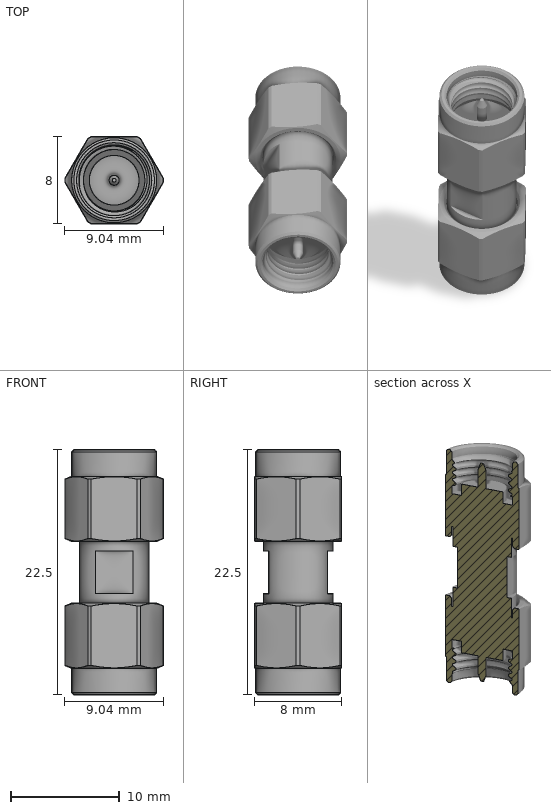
import cadquery as cq
import math


total_length = 22.5
end_z = total_length / 2

hex_sides = 6
nut_across_flats = 8.0
nut_across_corners = 9.04
nut_top_z = 8.81
nut_bottom_z = 2.83
nut_bevel_angle = 23.0
nut_face_dia = 7.8
collar_dia = 7.8
collar_chamfer = 0.2
rear_mouth_dia = 7.0
rear_bore_dia = 6.55
rear_bore_depth = 1.0

entry_dia = 6.5
entry_chamfer = 0.2
entry_depth = 0.9
relief_dia = entry_dia
relief_start_depth = 3.44
socket_depth = 4.2

thread_pitch = 0.705
thread_major_dia = 6.4
thread_half_angle = 30.0
sharp_height = thread_pitch * 0.5 / math.tan(math.radians(thread_half_angle))
thread_depth = sharp_height * 5 / 8
thread_minor_dia = thread_major_dia - 2 * thread_depth
root_flat = thread_pitch / 8
thread_overcut = 0.1
thread_start_angle = 152.0
thread_start_depth = 3.8
thread_turns = 4.25

shell_dia = 4.56
shell_face_depth = 3.1
pin_dia = 0.92
pin_tip_dia = 0.34
pin_tip_depth = 0.72
pin_cone_length = 0.68

barrel_dia = 6.4
barrel_across_flats = 5.4
flat_length = 3.9


def cylinder(diameter, z_low, z_high):
    """Cylinder on the Z axis between two heights."""
    return cq.Workplane("XY").workplane(offset=z_low).circle(diameter / 2).extrude(z_high - z_low)


def make_barrel():
    """Centre barrel with a pair of wrench flats facing -Y and +Y."""
    barrel_end_z = end_z - socket_depth
    barrel = cylinder(barrel_dia, -barrel_end_z, barrel_end_z)
    flat_cut_depth = (barrel_dia - barrel_across_flats) / 2
    for side in (-1, 1):
        cut_center_y = side * (barrel_across_flats + flat_cut_depth) / 2
        cutter = cq.Workplane("XY").box(barrel_dia, flat_cut_depth, flat_length)
        barrel = barrel.cut(cutter.translate((0, cut_center_y, 0)))
    return barrel


def make_hexagon():
    """Hexagonal grip with rounded corners and both ends bevelled."""
    hex_height = nut_top_z - nut_bottom_z
    vertex_dia = nut_across_flats / math.cos(math.pi / hex_sides)
    hexagon = (
        cq.Workplane("XY")
        .workplane(offset=nut_bottom_z)
        .polygon(hex_sides, vertex_dia)
        .extrude(hex_height)
    )
    face_radius = nut_face_dia / 2
    corner_radius = nut_across_corners / 2
    bevel_height = (corner_radius - face_radius) * math.tan(math.radians(nut_bevel_angle))
    envelope = (
        cq.Workplane("XZ")
        .moveTo(0, nut_bottom_z)
        .lineTo(face_radius, nut_bottom_z)
        .lineTo(corner_radius, nut_bottom_z + bevel_height)
        .lineTo(corner_radius, nut_top_z - bevel_height)
        .lineTo(face_radius, nut_top_z)
        .lineTo(0, nut_top_z)
        .close()
        .revolve()
    )
    return hexagon.intersect(envelope)


def make_thread_groove():
    """Right-handed 60 degree groove, running from the relief up into the entry bore."""
    outer_radius = thread_major_dia / 2
    inner_radius = thread_minor_dia / 2 - thread_overcut
    outer_half = root_flat / 2
    inner_half = outer_half + (outer_radius - inner_radius) * math.tan(math.radians(thread_half_angle))
    helix = cq.Wire.makeHelix(thread_pitch, thread_pitch * thread_turns, outer_radius)
    groove = (
        cq.Workplane("XZ")
        .moveTo(inner_radius, -inner_half)
        .lineTo(outer_radius, -outer_half)
        .lineTo(outer_radius, outer_half)
        .lineTo(inner_radius, inner_half)
        .close()
        .sweep(cq.Workplane(obj=helix), isFrenet=True)
    )
    groove = groove.rotate((0, 0, 0), (0, 0, 1), thread_start_angle)
    return groove.translate((0, 0, end_z - thread_start_depth))


def make_rear_bore():
    """Void around the barrel at the back of the nut, with a 45 degree chamfered mouth."""
    mouth_radius = rear_mouth_dia / 2
    bore_radius = rear_bore_dia / 2
    bore_end_z = nut_bottom_z + rear_bore_depth
    return (
        cq.Workplane("XZ")
        .moveTo(0, nut_bottom_z)
        .lineTo(mouth_radius, nut_bottom_z)
        .lineTo(bore_radius, nut_bottom_z + mouth_radius - bore_radius)
        .lineTo(bore_radius, bore_end_z)
        .lineTo(0, bore_end_z)
        .close()
        .revolve()
    )


def make_nut():
    """Coupling nut with collar, rear clearance bore and threaded socket."""
    collar = cylinder(collar_dia, nut_top_z, end_z).faces(">Z").chamfer(collar_chamfer)
    nut = make_hexagon().union(collar)
    nut = nut.cut(make_rear_bore())
    nut = nut.cut(cylinder(thread_minor_dia, end_z - socket_depth, end_z))
    nut = nut.cut(make_thread_groove())
    nut = nut.cut(cylinder(relief_dia, end_z - socket_depth, end_z - relief_start_depth))
    return nut.cut(make_entry())


def make_entry():
    """Void at the socket mouth: chamfer, plain bore and a 45 degree lead into the thread."""
    entry_radius = entry_dia / 2
    lead_z = end_z - entry_depth
    return (
        cq.Workplane("XZ")
        .moveTo(0, lead_z - entry_radius)
        .lineTo(entry_radius, lead_z)
        .lineTo(entry_radius, end_z - entry_chamfer)
        .lineTo(entry_radius + entry_chamfer, end_z)
        .lineTo(0, end_z)
        .close()
        .revolve()
    )


def make_contact():
    """Shell face with the pointed centre pin."""
    floor_z = end_z - socket_depth
    shell_z = end_z - shell_face_depth
    tip_z = end_z - pin_tip_depth
    return (
        cq.Workplane("XZ")
        .moveTo(0, floor_z)
        .lineTo(shell_dia / 2, floor_z)
        .lineTo(shell_dia / 2, shell_z)
        .lineTo(pin_dia / 2, shell_z)
        .lineTo(pin_dia / 2, tip_z - pin_cone_length)
        .lineTo(pin_tip_dia / 2, tip_z)
        .lineTo(0, tip_z)
        .close()
        .revolve()
    )


plug = make_nut().union(make_contact())
opposite_plug = plug.rotate((0, 0, 0), (1, 0, 0), 180)
result = make_barrel().union(plug).union(opposite_plug)